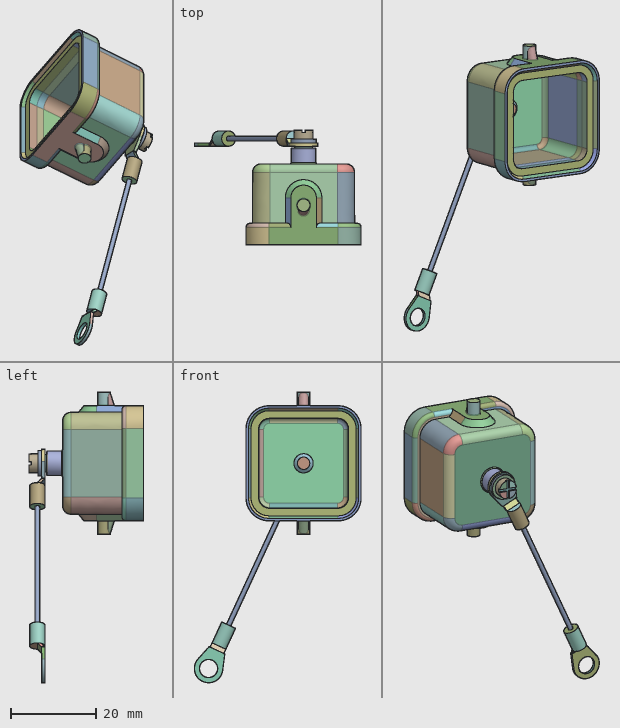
import cadquery as cq
import math

flange_width = 27.0
flange_depth = 5.1
flange_corner_radius = 5.4
flange_edge_round = 1.0
shell_width = 24.0
shell_corner_radius = 4.1
shell_depth = 19.0
shell_draft = 0.15
shell_back_round = 2.0

recess_mouth_width = 25.8
recess_floor_width = 24.6
recess_depth = 0.8
recess_corner_radius = 4.8
cavity_width = 20.9
cavity_corner_radius = 2.5
cavity_mouth_width = 21.1
cavity_lip_end_y = 2.9
cavity_lip_taper_end_y = 4.7
cavity_floor_y = 17.5
cavity_floor_round = 1.1
tip_base_diameter = 4.5
tip_end_diameter = 2.9
tip_height = 0.8

pad_radius = 3.0
pad_arch_y = 11.0
pad_overlap = 1.0
pad_taper = 40.0
pin_span = 33.3
pin_radius = 1.5
pin_y = 9.3
rib_radius = 1.2
rib_base_y = 8.05
rib_lean = 1.0
pin_foot_round = 0.15

boss_diameter = 5.8
boss_height = 3.7
boss_edge_round = 0.2
boss_foot_chamfer = 0.25
foot_slope = 45.0
shank_diameter = 4.2
washer_diameter = 6.0
washer_thickness = 0.85
head_diameter = 4.5
head_end_y = 26.9
slot_width = 0.7
slot_depth = 0.55

lug_y = 23.1
lug_thickness = 0.8
lug_ring_radius = 3.35
lug_tab_end = 4.7
lug_tab_width = 4.1
barrel_start = 5.8
barrel_end = 11.2
barrel_diameter = 3.6
cord_diameter = 1.15
lug_spacing = 52.96
cord_angle = 24.84

boss_end_y = shell_depth + boss_height
washer_y = lug_y + lug_thickness
washer_end_y = washer_y + washer_thickness
barrel_y = lug_y + barrel_diameter / 2


def facing_back(y):
    """Sketch plane at depth y whose normal is +Y; its axes are X and -Z."""
    return cq.Workplane(cq.Plane(origin=(0, y, 0), xDir=(1, 0, 0), normal=(0, 1, 0)))


def disc(y_start, y_end, diameter):
    return facing_back(y_start).circle(diameter / 2).extrude(y_end - y_start)


def rounded_square(width, corner_radius):
    return cq.Sketch().rect(width, width).vertices().fillet(corner_radius)


def make_shell():
    shell = facing_back(0).placeSketch(rounded_square(shell_width, shell_corner_radius))
    shell = shell.extrude(shell_depth, taper=shell_draft).faces(">Y").edges().fillet(shell_back_round)
    flange = facing_back(0).placeSketch(rounded_square(flange_width, flange_corner_radius))
    flange = flange.extrude(flange_depth).faces(">Y").edges().fillet(flange_edge_round)
    return shell.union(flange)


def make_pad_and_pin():
    """Arched pad level with the flange, with its pin and leaning rib, on the +Z side."""
    pad_top = flange_width / 2
    pad_root = shell_width / 2 - pad_overlap
    pad_height = pad_top - pad_root
    spread = pad_height * math.tan(math.radians(pad_taper))
    root_radius = pad_radius + spread
    pad = (
        cq.Workplane("XY", origin=(0, 0, pad_root))
        .moveTo(-root_radius, 0)
        .lineTo(root_radius, 0)
        .lineTo(root_radius, pad_arch_y)
        .threePointArc((0, pad_arch_y + root_radius), (-root_radius, pad_arch_y))
        .close()
        .extrude(pad_height, taper=pad_taper)
    )
    tip_z = pin_span / 2
    pin = cq.Workplane("XY", origin=(0, pin_y, pad_root)).circle(pin_radius).extrude(tip_z - pad_root)
    rib = (
        cq.Workplane("XY", origin=(0, rib_base_y, pad_top))
        .circle(rib_radius)
        .workplane(offset=tip_z - pad_top)
        .center(0, rib_lean)
        .circle(rib_radius)
        .loft()
    )
    foot_edges = cq.selectors.BoxSelector(
        (-pin_radius, rib_base_y - 2 * rib_radius, pad_top - pin_foot_round),
        (pin_radius, pin_y + 2 * pin_radius, pad_top + pin_foot_round),
    )
    return pad.union(pin).union(rib).edges(foot_edges).fillet(pin_foot_round)


def square_pocket(y_start, y_end, start_width, end_width, corner_radius):
    """Rounded square prism along Y whose width changes evenly from start to end."""
    depth = y_end - y_start
    taper = math.degrees(math.atan2((start_width - end_width) / 2, depth))
    outline = facing_back(y_start).placeSketch(rounded_square(start_width, corner_radius))
    return outline.extrude(depth, taper=taper)


def make_inside():
    recess = square_pocket(0, recess_depth, recess_mouth_width, recess_floor_width, recess_corner_radius)
    cavity = square_pocket(0, cavity_floor_y, cavity_width, cavity_width, cavity_corner_radius)
    cavity = cavity.faces(">Y").edges().fillet(cavity_floor_round)
    lip_radius = cavity_corner_radius + (cavity_mouth_width - cavity_width) / 2
    lip = square_pocket(0, cavity_lip_end_y, cavity_mouth_width, cavity_mouth_width, lip_radius)
    lip_taper = square_pocket(
        cavity_lip_end_y, cavity_lip_taper_end_y, cavity_mouth_width, cavity_width, lip_radius
    )
    return recess.union(cavity).union(lip).union(lip_taper)


def make_screw_tip():
    return (
        facing_back(cavity_floor_y)
        .circle(tip_base_diameter / 2)
        .workplane(offset=-tip_height)
        .circle(tip_end_diameter / 2)
        .loft()
    )


def make_boss_and_screw():
    boss = disc(shell_depth, boss_end_y, boss_diameter).faces(">Y").edges().fillet(boss_edge_round)
    shank = disc(shell_depth, washer_y, shank_diameter)
    washer = disc(washer_y, washer_end_y, washer_diameter)
    head = disc(washer_end_y, head_end_y, head_diameter)
    slot_y = head_end_y - slot_depth
    cross = facing_back(slot_y).rect(head_diameter, slot_width).extrude(slot_depth)
    cross = cross.union(facing_back(slot_y).rect(slot_width, head_diameter).extrude(slot_depth))
    foot_diameter = boss_diameter + 2 * boss_foot_chamfer
    foot = facing_back(shell_depth).circle(foot_diameter / 2).extrude(boss_foot_chamfer, taper=foot_slope)
    return boss.union(foot).union(shank).union(washer).union(head.cut(cross))


def make_cover():
    pad_and_pin = make_pad_and_pin()
    cover = make_shell().union(pad_and_pin).union(pad_and_pin.mirror("XY"))
    cover = cover.cut(make_inside()).union(make_screw_tip())
    return cover.union(make_boss_and_screw())


def make_lug():
    """Ring lug centred on the Y axis, its barrel pointing along +X."""
    half_tab = lug_tab_width / 2
    corner_distance = math.hypot(lug_tab_end, half_tab)
    tangent_angle = math.atan2(half_tab, lug_tab_end) + math.acos(lug_ring_radius / corner_distance)
    tangent_x = lug_ring_radius * math.cos(tangent_angle)
    tangent_z = lug_ring_radius * math.sin(tangent_angle)
    plate = (
        facing_back(lug_y)
        .moveTo(tangent_x, tangent_z)
        .threePointArc((-lug_ring_radius, 0), (tangent_x, -tangent_z))
        .lineTo(lug_tab_end, -half_tab)
        .lineTo(lug_tab_end, half_tab)
        .close()
        .extrude(lug_thickness)
    )
    ramp = (
        cq.Workplane("XY")
        .moveTo(lug_tab_end, lug_y)
        .lineTo(lug_tab_end, lug_y + lug_thickness)
        .lineTo(barrel_start, barrel_y)
        .lineTo(barrel_start, barrel_y - lug_thickness)
        .close()
        .extrude(barrel_diameter / 2, both=True)
    )
    barrel = (
        cq.Workplane("YZ", origin=(barrel_start, barrel_y, 0))
        .circle(barrel_diameter / 2)
        .extrude(barrel_end - barrel_start)
    )
    hole = disc(lug_y, washer_y, shank_diameter)
    return plate.union(ramp).union(barrel).cut(hole)


def make_cord():
    lug = make_lug()
    far_lug = lug.mirror("YZ").translate((lug_spacing, 0, 0))
    cord = (
        cq.Workplane("YZ", origin=(barrel_end, barrel_y, 0))
        .circle(cord_diameter / 2)
        .extrude(lug_spacing - 2 * barrel_end)
    )
    return lug.union(cord).union(far_lug).rotate((0, 0, 0), (0, 1, 0), 90 + cord_angle)


cover = make_cover()
cord = make_cord()
result = cq.Compound.makeCompound([cover.val(), cord.val()])